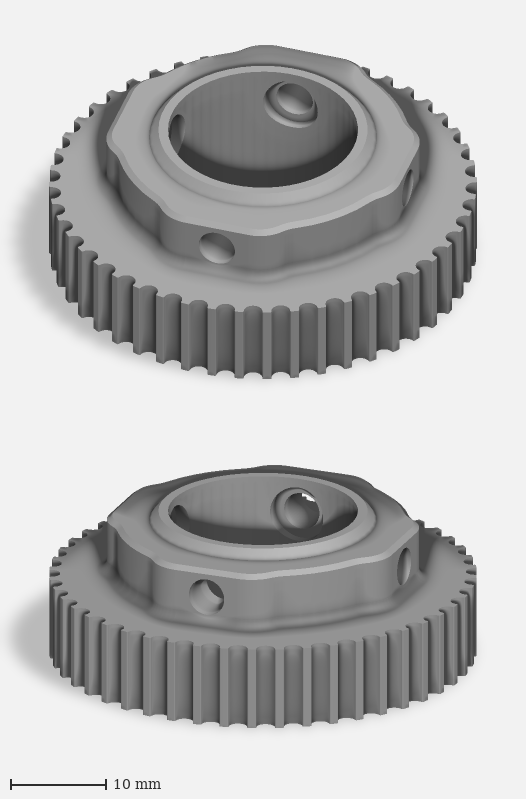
import cadquery as cq
import math

TOTAL_HEIGHT = 15.8
RIM_HEIGHT = 8.85
COLLAR_HEIGHT = 1.0
HUB_TOP = TOTAL_HEIGHT - COLLAR_HEIGHT

TOOTH_COUNT = 48
RIM_RADIUS = 22.5
GROOVE_FLOOR_RADIUS = 21.35
GROOVE_RADIUS = 1.0
TIP_ROUNDING = 0.15

BORE_RADIUS = 20.0 / 2
COLLAR_BASE_RADIUS = 12.0
COLLAR_TOP_RADIUS = COLLAR_BASE_RADIUS - COLLAR_HEIGHT

HUB_RADIUS = 15.5
PAD_DISTANCE = 16.0
PAD_HALF_WIDTH = 3.5
SHORT_PAD_HALF_WIDTH = 2.8
BLEND_RADIUS = 4.0
HUB_FOOT_FILLET = 1.0
HUB_BEVEL_WIDTH = 0.6
HUB_BEVEL_HEIGHT = 0.45

PAD_COUNT = 4
SCREW_HOLE_DIAMETER = 4.0
COUNTERBORE_DIAMETER = 6.0
COUNTERBORE_SEAT_RADIUS = 11.0
SCREW_HOLE_Z = HUB_TOP - COUNTERBORE_DIAMETER / 2


def polar(radius, angle, centre=(0, 0)):
    """Point at a radius and an angle (radians) from a centre."""
    return (centre[0] + radius * math.cos(angle), centre[1] + radius * math.sin(angle))


def turned(point, angle):
    """Point turned about the origin by an angle (radians)."""
    return polar(math.hypot(*point), math.atan2(point[1], point[0]) + angle)


def mirrored(points):
    """Points mirrored across the X axis and listed in reverse order."""
    return [(x, -y) for x, y in reversed(points)]


def angle_between(side_a, side_b, opposite):
    """Angle enclosed by two triangle sides, from the law of cosines."""
    return math.acos((side_a**2 + side_b**2 - opposite**2) / (2 * side_a * side_b))


def direction(start, end):
    """Angle of the line from one point to another."""
    return math.atan2(end[1] - start[1], end[0] - start[0])


def groove_side():
    """Side of the groove on the +X axis, from its round flank to the tooth tip.

    Returns the flank end, the middle of the tip rounding and the start of the tip.
    """
    groove_centre = (GROOVE_FLOOR_RADIUS + GROOVE_RADIUS, 0)
    rounding_distance = RIM_RADIUS - TIP_ROUNDING
    tip_angle = angle_between(groove_centre[0], rounding_distance, GROOVE_RADIUS + TIP_ROUNDING)
    rounding_centre = polar(rounding_distance, tip_angle)
    flank_angle = direction(groove_centre, rounding_centre)
    middle_angle = (flank_angle - math.pi + tip_angle) / 2
    return [
        polar(GROOVE_RADIUS, flank_angle, groove_centre),
        polar(TIP_ROUNDING, middle_angle, rounding_centre),
        polar(RIM_RADIUS, tip_angle),
    ]


def toothed_rim():
    """Pulley rim whose round grooves leave teeth with rounded tip corners."""
    exit_side = groove_side()
    entry_side = mirrored(exit_side)
    pitch_angle = 2 * math.pi / TOOTH_COUNT
    outline = cq.Workplane("XY").moveTo(*entry_side[0])
    for tooth in range(TOOTH_COUNT):
        angle = tooth * pitch_angle
        entry = [turned(point, angle) for point in entry_side]
        leave = [turned(point, angle) for point in exit_side]
        next_entry = turned(entry_side[0], angle + pitch_angle)
        outline = (
            outline.threePointArc(entry[1], entry[2])
            .threePointArc(polar(GROOVE_FLOOR_RADIUS, angle), leave[0])
            .threePointArc(leave[1], leave[2])
            .threePointArc(polar(RIM_RADIUS, angle + pitch_angle / 2), next_entry)
        )
    return outline.close().extrude(RIM_HEIGHT)


def pad_side(half_width):
    """Side of the +X pad, from its flat face down to the round hub body.

    A convex arc leaves the flat and a concave arc of equal radius meets the body.
    Returns the flat end, convex middle, shared point, concave middle and body point.
    """
    convex_centre = (PAD_DISTANCE - BLEND_RADIUS, half_width)
    concave_distance = HUB_RADIUS + BLEND_RADIUS
    spread = angle_between(math.hypot(*convex_centre), concave_distance, 2 * BLEND_RADIUS)
    body_angle = direction((0, 0), convex_centre) + spread
    concave_centre = polar(concave_distance, body_angle)
    blend_angle = direction(convex_centre, concave_centre)
    return [
        (PAD_DISTANCE, half_width),
        polar(BLEND_RADIUS, blend_angle / 2, convex_centre),
        polar(BLEND_RADIUS, blend_angle, convex_centre),
        polar(BLEND_RADIUS, math.pi + (blend_angle + body_angle) / 2, concave_centre),
        polar(HUB_RADIUS, body_angle),
    ]


def hub_outline():
    """Closed outline of the hub; the -Y side of the +X pad is the short one."""
    full_side = pad_side(PAD_HALF_WIDTH)
    short_side = pad_side(SHORT_PAD_HALF_WIDTH)
    pad_pitch = 2 * math.pi / PAD_COUNT
    outline = cq.Workplane("XY").moveTo(*turned(full_side[-1], -pad_pitch))
    for pad in range(PAD_COUNT):
        angle = pad * pad_pitch
        entry_side = mirrored(short_side if pad == 0 else full_side)
        entry = [turned(point, angle) for point in entry_side]
        leave = [turned(point, angle) for point in full_side]
        outline = (
            outline.threePointArc(polar(HUB_RADIUS, angle - pad_pitch / 2), entry[0])
            .threePointArc(entry[1], entry[2])
            .threePointArc(entry[3], entry[4])
            .lineTo(*leave[0])
            .threePointArc(leave[1], leave[2])
            .threePointArc(leave[3], leave[4])
        )
    return outline.close()


def hub():
    """Hub with a bevelled top edge and a filleted foot, on a disc that fills the rim."""
    body = hub_outline().extrude(HUB_TOP)
    body = body.faces(">Z").chamfer(HUB_BEVEL_HEIGHT, HUB_BEVEL_WIDTH)
    disc = cq.Workplane("XY").circle(GROOVE_FLOOR_RADIUS).extrude(RIM_HEIGHT)
    reach = PAD_DISTANCE + HUB_FOOT_FILLET
    foot = cq.selectors.BoxSelector(
        (-reach, -reach, RIM_HEIGHT - HUB_FOOT_FILLET / 2),
        (reach, reach, RIM_HEIGHT + HUB_FOOT_FILLET / 2),
        boundingbox=True,
    )
    return disc.union(body).edges(foot).fillet(HUB_FOOT_FILLET)


def collar():
    """Bevelled ring standing on the hub around the bore."""
    return (
        cq.Workplane("XY", origin=(0, 0, HUB_TOP))
        .circle(COLLAR_BASE_RADIUS)
        .workplane(offset=COLLAR_HEIGHT)
        .circle(COLLAR_TOP_RADIUS)
        .loft(ruled=True)
    )


def bore():
    """Cutter for the bore through the full height."""
    return cq.Workplane("XY").circle(BORE_RADIUS).extrude(TOTAL_HEIGHT)


def screw_hole(angle):
    """Radial cutter: a through hole with its counterbore opening into the bore."""
    plane = cq.Plane(origin=(0, 0, SCREW_HOLE_Z), normal=(*polar(1, angle), 0))
    hole = cq.Workplane(plane).circle(SCREW_HOLE_DIAMETER / 2).extrude(RIM_RADIUS)
    counterbore = (
        cq.Workplane(plane).circle(COUNTERBORE_DIAMETER / 2).extrude(COUNTERBORE_SEAT_RADIUS)
    )
    return hole.union(counterbore)


result = toothed_rim().union(hub()).union(collar()).cut(bore())
for pad in range(PAD_COUNT):
    result = result.cut(screw_hole(pad * 2 * math.pi / PAD_COUNT))